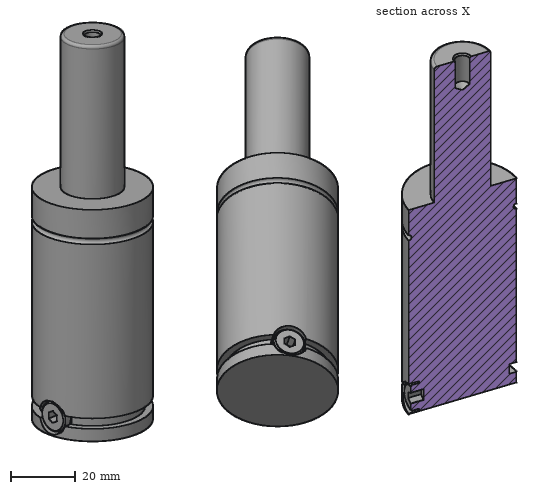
import cadquery as cq
import math

total_height = 130.0
body_diameter = 38.0
body_height = 78.3
body_radius = body_diameter / 2

foot_groove_bottom = 4.3
foot_groove_top = 7.8
foot_groove_depth = 2.5

cap_height = 9.8
cap_groove_width = 2.0

rod_diameter = 20.0
rod_edge_round = 1.0
rod_hole_diameter = 5.0
rod_hole_depth = 10.4
rod_hole_chamfer = 0.5
rod_hole_chamfer_angle = 90
rod_hole_tip_angle = 118

port_height = 6.0
seat_diameter = 11.0
seat_floor = 15.3
plug_diameter = 10.0
plug_face = 18.2
plug_chamfer = 0.5
socket_across_flats = 3.5
socket_depth = 4.5


def make_groove(bottom, top, depth):
    """Ring to remove from the body between two heights."""
    ring = cq.Workplane("XY").workplane(offset=bottom).circle(body_radius + depth)
    return ring.circle(body_radius - depth).extrude(top - bottom)


def make_cap_groove():
    """Ring of round section centred on the body surface, leaving a half-round groove."""
    section_height = body_height - cap_height - cap_groove_width / 2
    section = cq.Workplane("XZ").center(body_radius, section_height).circle(cap_groove_width / 2)
    return section.revolve(360, (-body_radius, 0, 0), (-body_radius, 1, 0))


def make_body():
    body = cq.Workplane("XY").circle(body_radius).extrude(body_height)
    body = body.cut(make_groove(foot_groove_bottom, foot_groove_top, foot_groove_depth))
    return body.cut(make_cap_groove())


def make_rod():
    """Rod from the body top up, with a rounded end and a drilled, chamfered hole."""
    rod = cq.Workplane("XY").workplane(offset=body_height)
    rod = rod.circle(rod_diameter / 2).extrude(total_height - body_height)
    rod = rod.faces(">Z").edges().fillet(rod_edge_round)
    hole_mouth = rod_hole_diameter + 2 * rod_hole_chamfer
    rod = rod.faces(">Z").workplane().cskHole(
        rod_hole_diameter, hole_mouth, rod_hole_chamfer_angle, rod_hole_depth
    )
    tip_radius = rod_hole_diameter / 2
    tip_depth = tip_radius / math.tan(math.radians(rod_hole_tip_angle / 2))
    tip = cq.Solid.makeCone(
        tip_radius, 0, tip_depth, cq.Vector(0, 0, total_height - rod_hole_depth), cq.Vector(0, 0, -1)
    )
    return rod.cut(cq.Workplane(tip))


def port_plane(distance):
    """Plane facing -Y, centred on the port at a distance from the body axis."""
    return cq.Workplane("XZ", origin=(0, -distance, port_height))


def make_plug():
    """Plug with a chamfered outer edge."""
    plug = port_plane(seat_floor).circle(plug_diameter / 2).extrude(plug_face - seat_floor)
    return plug.faces("<Y").edges().chamfer(plug_chamfer)


def make_socket():
    """Hexagonal socket with two flats facing along X."""
    socket = port_plane(plug_face - socket_depth)
    return socket.polygon(6, socket_across_flats, circumscribed=True).extrude(socket_depth)


seat = port_plane(seat_floor).circle(seat_diameter / 2).extrude(body_radius - seat_floor)
result = make_body().union(make_rod()).cut(seat).union(make_plug()).cut(make_socket())